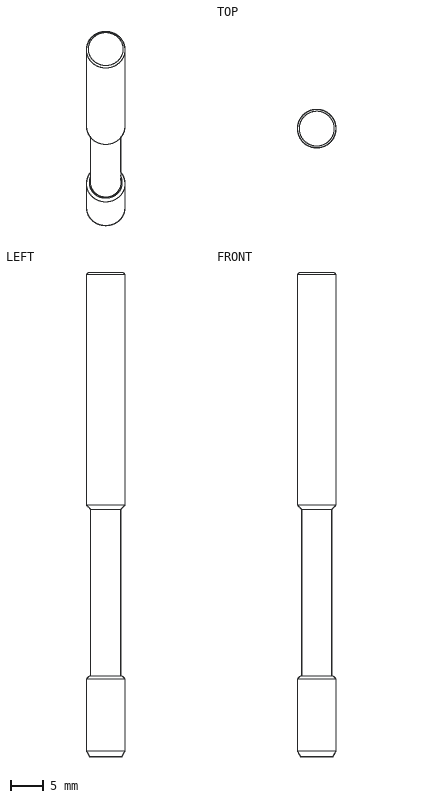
import cadquery as cq

total_length = 75.0
body_diameter = 6.0
neck_diameter = 4.7

tip_chamfer_height = 0.9
head_height = 12.5
neck_top_height = 38.3

end_chamfer = 0.3
head_chamfer = 0.45
tip_diameter = 5.0

body_radius = body_diameter / 2
neck_radius = neck_diameter / 2
tip_radius = tip_diameter / 2
shoulder = body_radius - neck_radius


def revolve_profile(points):
    """Revolve a closed profile of (radius, height) points about the Z axis."""
    return cq.Workplane("XZ").polyline(points).close().revolve(360, (0, 0), (0, 1))


def make_shank():
    """Gripping shank with a chamfered top and the thinner neck below it."""
    return revolve_profile([
        (0, head_height),
        (neck_radius, head_height),
        (neck_radius, neck_top_height),
        (body_radius, neck_top_height + shoulder),
        (body_radius, total_length - end_chamfer),
        (body_radius - end_chamfer, total_length),
        (0, total_length),
    ])


def make_head():
    """Full-diameter working head with a narrow ledge, a chamfered top edge and a chamfered tip."""
    return revolve_profile([
        (0, 0),
        (tip_radius, 0),
        (body_radius, tip_chamfer_height),
        (body_radius, head_height - head_chamfer),
        (body_radius - head_chamfer, head_height),
        (0, head_height),
    ])


shank = make_shank()
head = make_head()

result = cq.Compound.makeCompound([shank.val(), head.val()])